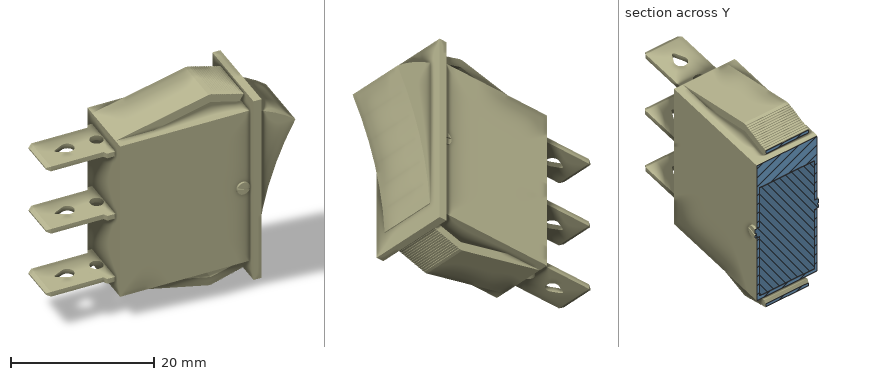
import cadquery as cq
import math


bezel_width = 13.2
bezel_height = 30.5
bezel_thickness = 1.25
body_width = 10.5
body_height = 25.65
body_depth = 20.05

clip_width = 7.47
clip_span = 32.5
clip_peak_height = clip_span / 2
clip_peak_depth = 5.6
clip_tip_depth = 0.15
clip_inner_tip_depth = 0.75
clip_inner_tip_height = 13.7
clip_bend_depth = 5.3
clip_bend_height = 14.95
clip_foot_depth = 14.07
step_count = 14
step_length = 0.347
step_rise = 0.1

rocker_width = 9.45
rocker_offset = 0.055
rocker_tilt = 16.2
rocker_half_length = 12.3
rocker_back = 1.8
rocker_end_radius = 18.85
rocker_tip_out = 5.62
scoop_floor = 4.4
pivot_depth = 1.0
pivot_diameter = 2.0
pivot_span = 11.0
slot_width = 0.2
slot_depth = 0.2

terminal_places = ((-0.055, 10.6), (0, 0), (-0.055, -10.8))
terminal_length = 10.3
terminal_thickness = 0.8
root_width = clip_width
blade_width = 6.3
left_shoulder = 0.68
right_shoulder = 1.25
shoulder_taper = 0.3
tip_length = 0.6
tip_corner = 0.38
tip_thickness = 0.23
terminal_hole_diameter = 2.0
terminal_hole_distance = 1.1
teardrop_diameter = 2.0
teardrop_distance = 5.62
teardrop_tip_distance = 7.32
teardrop_tip_radius = 0.25


def box(width, depth, height, front_y):
    """Box centred on X and Z that runs back from front_y."""
    return cq.Workplane("XY").box(width, depth, height).translate((0, front_y - depth / 2, 0))


def extrude_across(outline, width):
    """Extrude a YZ outline by width, centred on X = 0."""
    return outline.extrude(width).translate((-width / 2, 0, 0))


def pivot_pin():
    return extrude_across(cq.Workplane("YZ").circle(pivot_diameter / 2), pivot_span)


def place_on_pivot(shape):
    """Tilt a shape built around the pivot and move it to the pivot's place."""
    tilted = shape.rotate((0, 0, 0), (1, 0, 0), -rocker_tilt)
    return tilted.translate((rocker_offset, -pivot_depth, 0))


def rocker_half_length_at(out):
    """Half length of the rocker between its rounded ends; longest at the back."""
    rise = out + rocker_back
    return rocker_half_length - rocker_end_radius + math.sqrt(rocker_end_radius**2 - rise**2)


def rocker_block():
    """Rocker with rounded ends, still without its hollow face; the housing pocket has the same shape."""
    middle_out = (rocker_tip_out - rocker_back) / 2
    middle = rocker_half_length_at(middle_out)
    tip = rocker_half_length_at(rocker_tip_out)
    outline = (
        cq.Workplane("YZ")
        .moveTo(-rocker_back, rocker_half_length)
        .threePointArc((middle_out, middle), (rocker_tip_out, tip))
        .lineTo(rocker_tip_out, -tip)
        .threePointArc((middle_out, -middle), (-rocker_back, -rocker_half_length))
        .close()
    )
    return extrude_across(outline, rocker_width)


def face_scoop():
    """Cylinder that hollows the face from tip to tip."""
    tip = rocker_half_length_at(rocker_tip_out)
    depth = rocker_tip_out - scoop_floor
    radius = (tip**2 + depth**2) / (2 * depth)
    return extrude_across(cq.Workplane("YZ").center(scoop_floor + radius, 0).circle(radius), rocker_width)


def make_rocker():
    """Hollow-faced rocker with a slotted pivot pin at each side."""
    rocker = rocker_block().cut(face_scoop()).union(pivot_pin())
    slot = box(slot_depth, 2 * pivot_diameter, slot_width, pivot_diameter)
    for side in (-1, 1):
        rocker = rocker.cut(slot.translate((side * (pivot_span - slot_depth) / 2, 0, 0)))
    return place_on_pivot(rocker)


def make_clip():
    """Upper spring clip with a stepped grip between its tip and its peak."""
    body_top = body_height / 2
    outline = [
        (-body_depth, body_top),
        (-clip_foot_depth, body_top),
        (-clip_bend_depth, clip_bend_height),
        (-clip_inner_tip_depth, clip_inner_tip_height),
    ]
    for step in range(step_count + 1):
        depth = clip_tip_depth + step * step_length
        height = clip_peak_height - (step_count - step) * step_rise
        if step > 0:
            outline.append((-depth, height - step_rise))
        outline.append((-depth, height))
    outline.append((-clip_peak_depth, clip_peak_height))
    return extrude_across(cq.Workplane("YZ").polyline(outline).close(), clip_width)


def make_housing():
    housing = box(bezel_width, bezel_thickness, bezel_height, bezel_thickness)
    housing = housing.union(box(body_width, body_depth, body_height, 0))
    clip = make_clip()
    housing = housing.union(clip).union(clip.mirror("XY"))
    return housing.cut(place_on_pivot(rocker_block())).cut(place_on_pivot(pivot_pin()))


def extrude_up(outline):
    """Extrude an XY outline by the terminal thickness, centred on Z = 0."""
    return outline.extrude(terminal_thickness).translate((0, 0, -terminal_thickness / 2))


def terminal_plate():
    root = root_width / 2
    blade = blade_width / 2
    outline = [
        (-root, 0),
        (-root, -left_shoulder),
        (-blade, -left_shoulder - shoulder_taper),
        (-blade, -terminal_length + tip_length),
        (-blade + tip_corner, -terminal_length),
        (blade - tip_corner, -terminal_length),
        (blade, -terminal_length + tip_length),
        (blade, -right_shoulder - shoulder_taper),
        (root, -right_shoulder),
        (root, 0),
    ]
    return extrude_up(cq.Workplane("XY").polyline(outline).close())


def terminal_side_profile():
    """Side outline of the terminal, bevelled to a thin tip."""
    half = terminal_thickness / 2
    outline = [
        (0, half),
        (-terminal_length + tip_length, half),
        (-terminal_length, tip_thickness / 2),
        (-terminal_length, -tip_thickness / 2),
        (-terminal_length + tip_length, -half),
        (0, -half),
    ]
    return extrude_across(cq.Workplane("YZ").polyline(outline).close(), root_width)


def teardrop():
    """Large circle joined to a small one by their common tangents."""
    radius = teardrop_diameter / 2
    tip_radius = teardrop_tip_radius
    sine = (radius - tip_radius) / (teardrop_tip_distance - teardrop_distance)
    cosine = math.sqrt(1 - sine**2)
    wide_y = -teardrop_distance - radius * sine
    narrow_y = -teardrop_tip_distance - tip_radius * sine
    outline = (
        cq.Workplane("XY")
        .moveTo(radius * cosine, wide_y)
        .threePointArc((0, -teardrop_distance + radius), (-radius * cosine, wide_y))
        .lineTo(-tip_radius * cosine, narrow_y)
        .threePointArc((0, -teardrop_tip_distance - tip_radius), (tip_radius * cosine, narrow_y))
        .close()
    )
    return extrude_up(outline)


def round_hole():
    radius = terminal_hole_diameter / 2
    return extrude_up(cq.Workplane("XY").center(0, -terminal_hole_distance).circle(radius))


def make_terminal(offset, height):
    terminal = terminal_plate().intersect(terminal_side_profile()).cut(round_hole()).cut(teardrop())
    return terminal.translate((offset, -body_depth, height))


housing = make_housing()
rocker = make_rocker()
terminals = [make_terminal(offset, height) for offset, height in terminal_places]

result = cq.Compound.makeCompound([housing.val(), rocker.val(), *[terminal.val() for terminal in terminals]])